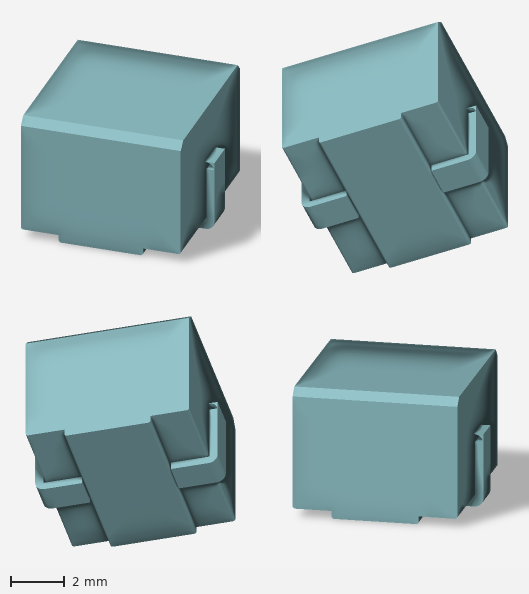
import cadquery as cq
import math

SPAN_X = 7.0
DEPTH_Y = 6.9
HEIGHT = 5.0

STRIP_THICKNESS = 0.3
STRIP_WIDTH = 1.205
BEND_RADIUS = 0.35
CLIP_HEIGHT = 2.82
FOOT_LENGTH = 1.8
NOTCH_SKIN = 0.015
NOTCH_RADIUS = BEND_RADIUS - NOTCH_SKIN

CLEARANCE = 0.05
SIDE_INSET = 0.365
LEG_THICKNESS = SIDE_INSET - CLEARANCE
HOUSING_WIDTH = SPAN_X - 2 * SIDE_INSET
TOP_CHAMFER = 0.3
STEP_Z = STRIP_THICKNESS + CLEARANCE
PAD_WIDTH = SPAN_X - 2 * (FOOT_LENGTH + CLEARANCE)
EDGE_FILLET = 0.1


def make_housing():
    """Block with chamfered top edges and a central pad projecting from its underside."""
    block = (
        cq.Workplane("XY")
        .workplane(offset=STEP_Z)
        .rect(HOUSING_WIDTH, DEPTH_Y)
        .extrude(HEIGHT - STEP_Z)
    )
    block = block.faces(">Z").edges("|X").chamfer(TOP_CHAMFER)
    block = block.faces("<Z").edges("|Y").fillet(EDGE_FILLET)
    pad = (
        cq.Workplane("XY")
        .workplane(offset=CLEARANCE)
        .rect(PAD_WIDTH, DEPTH_Y)
        .extrude(STEP_Z - CLEARANCE)
    )
    pad = pad.faces("<Z").edges("|Y").fillet(EDGE_FILLET)
    return block.union(pad)


def make_left_clip():
    """L-shaped strip whose upper end has a small lip hollowed by a round notch."""
    outer_x = -SPAN_X / 2
    inner_x = outer_x + LEG_THICKNESS
    lip_x = outer_x + SIDE_INSET
    leg_top = CLIP_HEIGHT - STRIP_THICKNESS
    notch_top = CLIP_HEIGHT - NOTCH_SKIN
    notch_center_x = outer_x + BEND_RADIUS
    notch_center_z = CLIP_HEIGHT - BEND_RADIUS
    notch_x = notch_center_x - math.sqrt(NOTCH_RADIUS**2 - (leg_top - notch_center_z) ** 2)
    profile = (
        cq.Workplane("XZ", origin=(0, STRIP_WIDTH / 2, 0))
        .moveTo(outer_x, CLIP_HEIGHT)
        .lineTo(outer_x, BEND_RADIUS)
        .radiusArc((outer_x + BEND_RADIUS, 0), -BEND_RADIUS)
        .lineTo(outer_x + FOOT_LENGTH, 0)
        .lineTo(outer_x + FOOT_LENGTH, STRIP_THICKNESS)
        .lineTo(inner_x, STRIP_THICKNESS)
        .lineTo(inner_x, leg_top)
        .lineTo(notch_x, leg_top)
        .radiusArc((notch_center_x, notch_top), NOTCH_RADIUS)
        .lineTo(lip_x, notch_top)
        .lineTo(lip_x, CLIP_HEIGHT)
        .close()
    )
    return profile.extrude(STRIP_WIDTH)


housing = make_housing()
left_clip = make_left_clip()
clips = [left_clip.rotate((0, 0, 0), (0, 0, 1), angle) for angle in (0, 180)]

result = cq.Compound.makeCompound([housing.val(), *[clip.val() for clip in clips]])